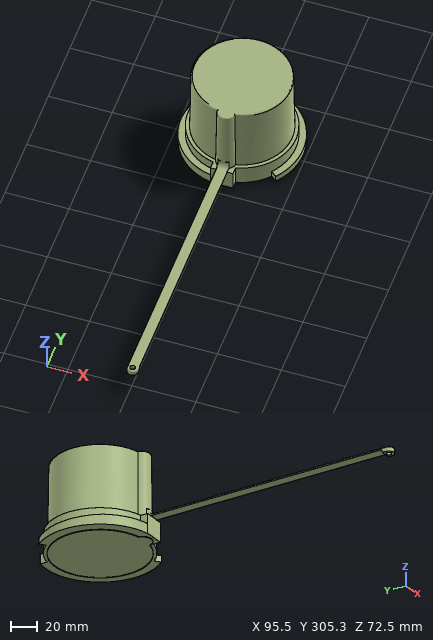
import cadquery as cq
import math

cap_height = 72.5
lip_height = 0.5
collar_top = 17.0
lug_low = 6.0
lug_high = 9.0

body_radius = 39.5
body_draft = 0.9
top_fillet = 1.2
lobe_radius = 8.2
lobe_reach = 45.0

collar_radius = 42.0
lug_diameter = 95.5
lug_radius = lug_diameter / 2
block_half_width = 9.0
block_reach = 47.3
lug_ramp_start = -40.0
lug_ramp_end = 35.0
lug_inner_radius = 36.5
lug_overrun = math.degrees(math.asin(block_half_width / lug_radius))

total_length = 305.3
strap_end = lug_radius - total_length
strap_width = 8.5
strap_thickness = 1.8
strap_bottom = collar_top
strap_top = strap_bottom + strap_thickness
strap_rounding = 1.2
root_inside = -42.7
root_face = -44.3
root_blend = 5.2
tab_length = 8.5
tab_slope = 1.2
tab_bottom = 14.7
strap_hole_diameter = 4.0

trim_allowance = 3.0


def make_body():
    """Tapered round cap with a half-round rib on the -Y side."""
    blank_height = cap_height + trim_allowance
    lobe_center = lobe_radius - lobe_reach
    drum = cq.Workplane("XY").circle(body_radius).extrude(blank_height, taper=body_draft)
    lobe = (
        cq.Workplane("XY")
        .moveTo(-lobe_radius, 0)
        .lineTo(-lobe_radius, lobe_center)
        .threePointArc((0, -lobe_reach), (lobe_radius, lobe_center))
        .lineTo(lobe_radius, 0)
        .close()
        .extrude(blank_height, taper=body_draft)
    )
    envelope = cq.Workplane("XY").circle(lug_radius).extrude(cap_height)
    body = drum.union(lobe).intersect(envelope)
    return body.faces(">Z").edges().fillet(top_fillet)


def make_collar():
    """Round collar with the flat-faced block below the strap."""
    collar_height = collar_top - lip_height
    collar = (
        cq.Workplane("XY")
        .workplane(offset=lip_height)
        .circle(collar_radius)
        .extrude(collar_height)
    )
    block = (
        cq.Workplane("XY")
        .workplane(offset=lip_height)
        .center(0, -block_reach / 2)
        .rect(2 * block_half_width, block_reach)
        .extrude(collar_height)
    )
    return collar.union(block)


def polar(radius, degrees):
    """Point at a radius and an angle from +X around the cap axis."""
    angle = math.radians(degrees)
    return radius * math.cos(angle), radius * math.sin(angle)


def make_lug():
    """Bayonet lug: a helical ramp, then a level stretch cut off square at its thick end."""
    lug_end = 90 + lug_overrun
    lug_middle = (lug_ramp_start + lug_end) / 2
    lug = (
        cq.Workplane("XY")
        .workplane(offset=lip_height)
        .moveTo(*polar(lug_inner_radius, lug_ramp_start))
        .lineTo(*polar(lug_radius, lug_ramp_start))
        .threePointArc(polar(lug_radius, lug_middle), polar(lug_radius, lug_end))
        .lineTo(-block_half_width, lug_inner_radius)
        .lineTo(*polar(lug_inner_radius, 90))
        .threePointArc(polar(lug_inner_radius, lug_middle), polar(lug_inner_radius, lug_ramp_start))
        .close()
        .extrude(lug_high - lip_height)
    )
    return lug.cut(make_ramp_cutter())


def make_ramp_cutter():
    """Helical band that slopes the first part of a lug's top face."""
    rise = lug_high - lug_low
    pitch = rise * 360 / (lug_ramp_end - lug_ramp_start)
    middle_radius = (lug_inner_radius + lug_radius) / 2
    band_width = lug_radius - lug_inner_radius + 2 * trim_allowance
    path = cq.Workplane(cq.Wire.makeHelix(pitch, rise, middle_radius))
    return (
        cq.Workplane("XZ")
        .center(middle_radius, rise)
        .rect(band_width, 2 * rise)
        .sweep(path, isFrenet=True)
        .rotate((0, 0, 0), (0, 0, 1), lug_ramp_start)
        .translate((0, 0, lug_low))
    )


def make_block_relief():
    """Space in front of the block face, which trims the lug flush with it."""
    return (
        cq.Workplane("XY")
        .center(0, -block_reach - trim_allowance / 2)
        .rect(2 * block_half_width, trim_allowance)
        .extrude(collar_top)
    )


def make_strap():
    """Flat strap with rounded upper edges, a concave blend at its root, a thick end tab and a hole."""
    half_width = strap_width / 2
    hole_y = strap_end + half_width
    tab_start = strap_end + tab_length
    blend_end = root_face - root_blend
    blend_top = strap_top + root_blend
    outline = (
        cq.Workplane("XY")
        .moveTo(-half_width, root_inside)
        .lineTo(-half_width, hole_y)
        .threePointArc((0, strap_end), (half_width, hole_y))
        .lineTo(half_width, root_inside)
        .close()
        .extrude(cap_height)
    )
    side_profile = (
        cq.Workplane("YZ")
        .moveTo(root_inside, strap_bottom)
        .lineTo(root_inside, blend_top)
        .lineTo(root_face, blend_top)
        .radiusArc((blend_end, strap_top), root_blend)
        .lineTo(strap_end, strap_top)
        .lineTo(strap_end, tab_bottom)
        .lineTo(tab_start - tab_slope, tab_bottom)
        .lineTo(tab_start, strap_bottom)
        .close()
        .extrude(half_width, both=True)
    )
    strap = side_profile.intersect(outline)
    top_face_center = (0, (strap_end + blend_end) / 2, strap_top)
    top_face = strap.faces(cq.NearestToPointSelector(top_face_center))
    strap = top_face.edges("not |X").fillet(strap_rounding)
    hole = cq.Workplane("XY").center(0, hole_y).circle(strap_hole_diameter / 2).extrude(cap_height)
    return strap.cut(hole)


lug = make_lug()
opposite_lug = lug.rotate((0, 0, 0), (0, 0, 1), 180)
cap = make_body().union(make_collar()).union(lug).union(opposite_lug).cut(make_block_relief())
result = cap.union(make_strap())